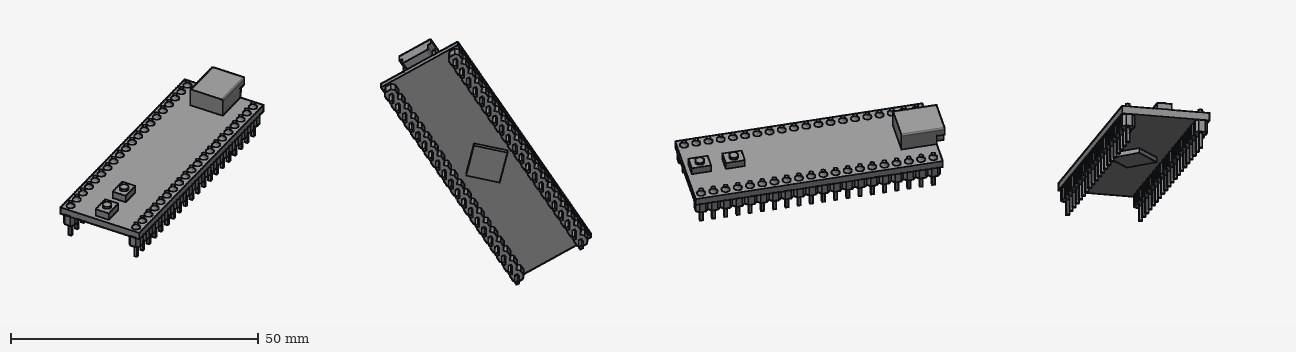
import cadquery as cq
import math

board_width = 18.3
board_length = 51.35
board_thickness = 1.6

pin_count = 20
pin_row_length = 48.25
pin_pitch = pin_row_length / (pin_count - 1)
row_spacing = 15.2
first_pin_y = 1.5
header_height = 2.45
header_flat = 1.25
pin_side = 0.65
pin_length = 3.1

solder_base_radius = 0.85
solder_tip_radius = 0.4
solder_height = 0.95

button_width = 3.0
button_length = 4.0
button_height = 1.6
button_centres_y = (2.95, 10.0)
cap_diameter = 1.8
cap_height = 0.5

chip_side = 7.0
chip_height = 1.0
chip_turn = 45
chip_offset_x = -0.2

overall_length = 53.0
connector_width = 7.6
connector_length = 9.0
connector_height = 4.0
corner_radius = 0.3
plug_step_height = 2.0
plug_step_depth = 0.75

board_bottom = -board_thickness
header_bottom = board_bottom - header_height
overhang = overall_length - board_length
pin_places = [
    (side * row_spacing / 2, first_pin_y + i * pin_pitch)
    for side in (-1, 1)
    for i in range(pin_count)
]


def block(width, length, height, x, y, bottom):
    """Upright box centred on (x, y), standing on the level `bottom`."""
    box = cq.Workplane("XY").box(width, length, height, centered=(True, True, False))
    return box.translate((x, y, bottom))


def make_header_row(x):
    """Strip of square cells with chamfered corners, joined side to side."""
    chamfer = (pin_pitch - header_flat) / 2
    half = pin_pitch / 2
    start_y = first_pin_y - half
    right_edge = [(half - chamfer, 0)]
    for i in range(pin_count):
        cell_y = i * pin_pitch
        right_edge.append((half, cell_y + chamfer))
        right_edge.append((half, cell_y + pin_pitch - chamfer))
        right_edge.append((half - chamfer, cell_y + pin_pitch))
    left_edge = [(-px, py) for px, py in reversed(right_edge)]
    strip = cq.Workplane("XY").polyline(right_edge + left_edge).close().extrude(header_height)
    return strip.translate((x, start_y, header_bottom))


def make_solder_joint(x, y):
    """Cone with a concave arc for a side, upright at the tip and flaring out to the base."""
    flare = solder_base_radius - solder_tip_radius
    flare_radius = (flare**2 + solder_height**2) / (2 * flare)
    half_angle = math.asin(solder_height / flare_radius) / 2
    arc_middle = (
        solder_tip_radius + flare_radius * (1 - math.cos(half_angle)),
        solder_height - flare_radius * math.sin(half_angle),
    )
    profile = (
        cq.Workplane("XZ")
        .lineTo(solder_base_radius, 0)
        .threePointArc(arc_middle, (solder_tip_radius, solder_height))
        .lineTo(0, solder_height)
        .close()
    )
    return profile.revolve(360, (0, 0, 0), (0, 1, 0)).translate((x, y, 0))


def make_button(y):
    """Rectangular switch body with a round cap."""
    body = block(button_width, button_length, button_height, 0, y, 0)
    cap = cq.Workplane("XY").circle(cap_diameter / 2).extrude(cap_height)
    return body.union(cap.translate((0, y, button_height)))


def make_chip():
    """Flat square chip hanging under the middle of the board."""
    chip = block(chip_side, chip_side, chip_height, 0, 0, 0).rotate((0, 0, 0), (0, 0, 1), chip_turn)
    return chip.translate((chip_offset_x, board_length / 2, board_bottom - chip_height))


def make_board():
    """Circuit board with its headers, pins, solder joints, buttons and chip."""
    board = block(board_width, board_length, board_thickness, 0, board_length / 2, board_bottom)
    for side in (-1, 1):
        board = board.union(make_header_row(side * row_spacing / 2))
    for x, y in pin_places:
        board = board.union(block(pin_side, pin_side, pin_length, x, y, header_bottom - pin_length))
        board = board.union(make_solder_joint(x, y))
    for y in button_centres_y:
        board = board.union(make_button(y))
    return board.union(make_chip())


def make_connector():
    """Block on the board whose overhanging end narrows below a rounded step."""
    centre_y = overall_length - connector_length / 2
    connector = block(connector_width, connector_length, connector_height, 0, centre_y, 0)
    connector = connector.edges("|Y and >Z").fillet(corner_radius)

    outer = connector_width / 2
    inner = outer - plug_step_depth
    for side in (-1, 1):
        relief = (
            cq.Workplane("XZ", origin=(0, overall_length, 0))
            .moveTo(side * outer, 0)
            .lineTo(side * outer, plug_step_height + corner_radius)
            .radiusArc((side * (outer - corner_radius), plug_step_height), side * corner_radius)
            .lineTo(side * (inner + corner_radius), plug_step_height)
            .radiusArc((side * inner, plug_step_height - corner_radius), -side * corner_radius)
            .lineTo(side * inner, corner_radius)
            .radiusArc((side * (inner - corner_radius), 0), side * corner_radius)
            .close()
            .extrude(overhang)
        )
        connector = connector.cut(relief)
    return connector


board = make_board()
connector = make_connector()

result = cq.Compound.makeCompound([board.val(), connector.val()])